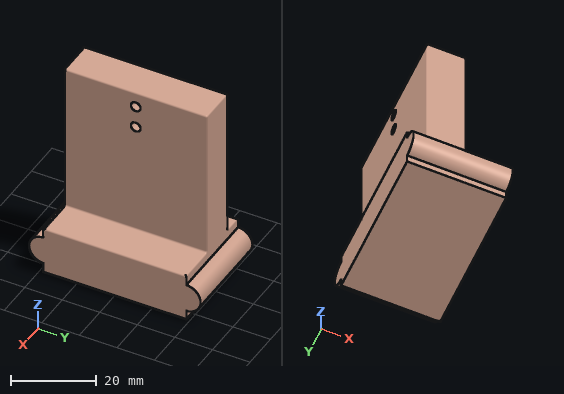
import cadquery as cq

base_width = 25.4
base_depth = 38.1
base_height = 12.65

rail_radius = 3.8
rail_height = base_height / 2

plate_left = 5.0
plate_thickness = 10.15
plate_right = plate_left + plate_thickness
total_height = 52.8

hole_diameter = 2.55
hole_drops = (4.0, 10.0)

edge_radius = 0.5
front_y = -base_depth / 2


def make_body():
    """Inverted-T section along Y, rounded except at the base bottom and the front top edge."""
    section = [
        (0, 0),
        (base_width, 0),
        (base_width, base_height),
        (plate_right, base_height),
        (plate_right, total_height),
        (plate_left, total_height),
        (plate_left, base_height),
        (0, base_height),
    ]
    body = (
        cq.Workplane("XZ", origin=(0, -front_y, 0))
        .polyline(section)
        .close()
        .extrude(base_depth)
    )

    def is_rounded(edge):
        centre = edge.Center()
        if centre.z < base_height - edge_radius:
            return False
        at_top = centre.z > total_height - edge_radius
        at_front = centre.y < front_y + edge_radius
        return not (at_top and at_front)

    rounded = [edge for edge in body.edges().vals() if is_rounded(edge)]
    return body.newObject(rounded).fillet(edge_radius)


def make_rails():
    """Two full cylinders whose inner halves merge into the base."""
    return (
        cq.Workplane("YZ")
        .pushPoints([(front_y, rail_height), (-front_y, rail_height)])
        .circle(rail_radius)
        .extrude(base_width)
    )


def make_holes():
    """Cylinders crossing the plate from face to face."""
    return (
        cq.Workplane("YZ")
        .pushPoints([(0, total_height - drop) for drop in hole_drops])
        .circle(hole_diameter / 2)
        .extrude(base_width)
    )


result = make_body().union(make_rails()).cut(make_holes())